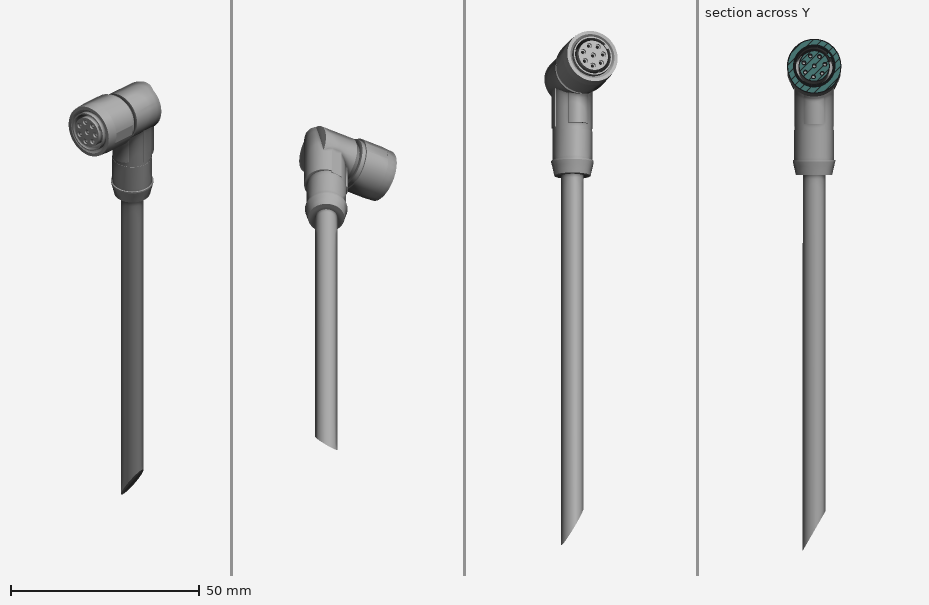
import cadquery as cq
import math

total_height = 136.2
cable_diameter = 6.0
cut_angle = 60.0
grip_diameter = 10.6
collar_bottom = 100.0
collar_ridge = 103.5
collar_diameter = 11.3
collar_end_diameter = 9.7
ridge_height = 0.4
seam_height = 111.8
seam_step = 0.07

lean_angle = 8.0
head_diameter = 13.0
head_back = 4.4
head_front = 5.6
neck_diameter = 10.9
rim_back = 7.1
rim_diameter = 13.5
nut_back = 8.2
nut_front = 17.8
nut_diameter = 14.5
nut_nose_diameter = 14.0
nose_length = 2.9
nut_bore_diameter = 10.9
bore_mouth_diameter = 12.3
bore_floor = 8.2
mouth_chamfer_length = 0.7
flat_width = 3.0
shell_diameter = 10.6
shell_bore_diameter = 10.0
shell_front = 18.3
key_angle = 35.0
key_width = 1.4
key_reach = 0.5

insert_diameter = 8.2
insert_front = 18.5
contact_circle_radius = 2.9
contact_count = 7
first_contact_angle = -94.0
contact_pocket_diameter = 1.5
contact_pocket_depth = 0.5
contact_hole_diameter = 0.9
contact_hole_depth = 5.5

back_pad_y = 6.0
front_pad_y = 6.1
front_pad_width = 5.5
front_pad_edge_y = 4.9
pad_bottom = 113.5
side_flat_width = 3.0
side_flat_bottom = 112.8
side_flat_top = 123.3

lean = math.radians(lean_angle)
axis_height = total_height - nut_front * math.sin(lean) - nut_nose_diameter / 2 * math.cos(lean)
plug_plane = cq.Plane(
    origin=(0, 0, axis_height),
    xDir=(1, 0, 0),
    normal=(0, -math.cos(lean), math.sin(lean)),
)


def plug_cylinder(diameter, start, end):
    return cq.Workplane(plug_plane).workplane(offset=start).circle(diameter / 2).extrude(end - start)


def plug_cone(start_diameter, end_diameter, start, end):
    profile = [(0, start), (start_diameter / 2, start), (end_diameter / 2, end), (0, end)]
    return cq.Workplane(
        cq.Plane(origin=plug_plane.origin, xDir=(1, 0, 0), normal=-plug_plane.yDir)
    ).polyline(profile).close().revolve(360, (0, 0), (0, 1))


def upright_box(width, y_start, y_end, bottom, top):
    return cq.Workplane("XY").box(
        width, y_end - y_start, top - bottom, centered=(True, False, False)
    ).translate((0, y_start, bottom))


def make_cable():
    radius = cable_diameter / 2
    cut_height = cable_diameter * math.tan(math.radians(cut_angle))
    cable = cq.Workplane("XY").circle(radius).extrude(axis_height)
    wedge = (
        cq.Workplane("XZ")
        .polyline([(-radius, 0), (radius, 0), (radius, cut_height)])
        .close()
        .extrude(radius, both=True)
    )
    return cable.cut(wedge)


def make_grip():
    radius = grip_diameter / 2
    upper_radius = radius - seam_step
    profile = [
        (0, collar_bottom),
        (collar_end_diameter / 2, collar_bottom),
        (collar_diameter / 2, collar_ridge),
        (collar_diameter / 2, collar_ridge + ridge_height),
        (radius, collar_ridge + ridge_height),
        (radius, seam_height),
        (upper_radius, seam_height),
        (upper_radius, axis_height),
        (0, axis_height),
    ]
    return cq.Workplane("XZ").polyline(profile).close().revolve(360, (0, 0), (0, 1))


def make_back_pad():
    """Grip-sized round shifted backwards, ending flush with the round top of the head."""
    radius = grip_diameter / 2
    pad = (
        cq.Workplane("XY", origin=(0, back_pad_y - radius, pad_bottom))
        .circle(radius)
        .extrude(total_height - pad_bottom)
    )
    upper_limit = plug_cylinder(head_diameter, -head_diameter, head_front)
    lower_limit = upright_box(head_diameter, 0, head_diameter, pad_bottom, axis_height)
    return pad.intersect(upper_limit.union(lower_limit))


def make_grip_pads():
    """Arched pad on the front of the grip and a flat on each side."""
    half_width = front_pad_width / 2
    front = (
        cq.Workplane("XY", origin=(0, 0, pad_bottom))
        .moveTo(-half_width, 0)
        .lineTo(-half_width, -front_pad_edge_y)
        .threePointArc((0, -front_pad_y), (half_width, -front_pad_edge_y))
        .lineTo(half_width, 0)
        .close()
        .extrude(axis_height - pad_bottom)
    )
    sides = upright_box(
        grip_diameter, -side_flat_width / 2, side_flat_width / 2, side_flat_bottom, side_flat_top
    )
    return front.union(sides)


def make_head():
    head = plug_cylinder(head_diameter, -head_back, head_front)
    return head.union(plug_cylinder(neck_diameter, head_front, rim_back))


def make_nut():
    nose_back = nut_front - nose_length
    nut = plug_cylinder(rim_diameter, rim_back, nut_back)
    nut = nut.union(plug_cylinder(nut_diameter, nut_back, nose_back))
    flat_distance = math.sqrt(nut_diameter**2 - flat_width**2)
    flat_limit = (
        cq.Workplane(plug_plane)
        .workplane(offset=rim_back)
        .rect(flat_distance, nut_diameter)
        .extrude(nose_back - rim_back)
    )
    nut = nut.intersect(flat_limit)
    return nut.union(plug_cone(nut_diameter, nut_nose_diameter, nose_back, nut_front))


def make_bore():
    bore = plug_cylinder(nut_bore_diameter, bore_floor, nut_front)
    mouth_back = nut_front - mouth_chamfer_length
    return bore.union(plug_cone(nut_bore_diameter, bore_mouth_diameter, mouth_back, nut_front))


def make_shell():
    """Thin sleeve around the insert, with one key rib on its inside."""
    shell = plug_cylinder(shell_diameter, bore_floor, shell_front)
    shell = shell.cut(plug_cylinder(shell_bore_diameter, bore_floor, shell_front))
    key_outer = (shell_bore_diameter + shell_diameter) / 4
    key_inner = shell_bore_diameter / 2 - key_reach
    key = (
        cq.Workplane(plug_plane)
        .workplane(offset=bore_floor)
        .transformed(rotate=(0, 0, key_angle))
        .center((key_inner + key_outer) / 2, 0)
        .rect(key_outer - key_inner, key_width)
        .extrude(shell_front - bore_floor)
    )
    return shell.union(key)


def make_insert():
    """Round insert with a ring of stepped contact holes and one in the middle."""
    insert = plug_cylinder(insert_diameter, bore_floor, insert_front)
    centres = [(0, 0)]
    for index in range(contact_count):
        angle = math.radians(first_contact_angle + index * 360 / contact_count)
        centres.append((contact_circle_radius * math.cos(angle), contact_circle_radius * math.sin(angle)))
    front = cq.Workplane(plug_plane).workplane(offset=insert_front).pushPoints(centres)
    pockets = front.circle(contact_pocket_diameter / 2).extrude(-contact_pocket_depth)
    holes = front.circle(contact_hole_diameter / 2).extrude(-contact_hole_depth)
    return insert.cut(pockets).cut(holes)


result = (
    make_cable()
    .union(make_grip())
    .union(make_back_pad())
    .union(make_grip_pads())
    .union(make_head())
    .union(make_nut())
    .cut(make_bore())
    .union(make_shell())
    .union(make_insert())
)